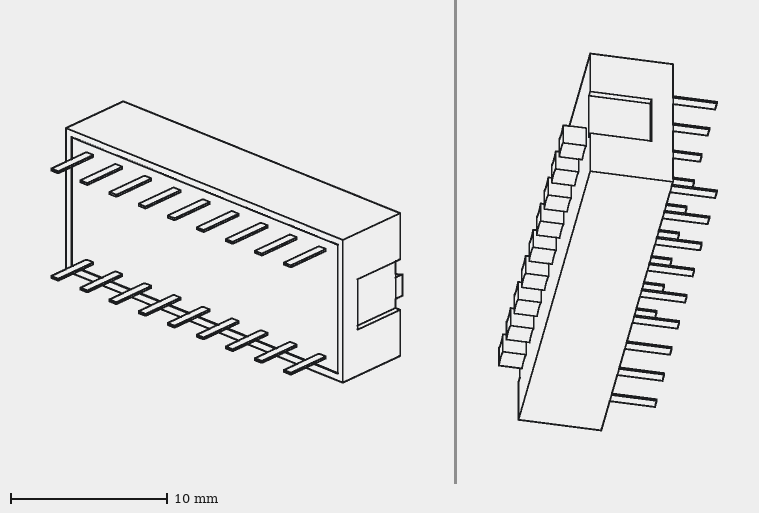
import cadquery as cq


body_length = 24.22
body_depth = 5.4
body_height = 10.15

base_length = 23.3
base_height = 9.15
base_recess = 0.1

end_recess_depth = 0.4
end_recess_length = 4.0
end_recess_height = 3.58

position_count = 9
pitch = 2.55
position_offset = 0.07

pin_length = 3.2
pin_width = 0.6
pin_thickness = 0.15
row_spacing = 7.63

actuator_length = 1.5
actuator_width = 1.35
actuator_height = 1.53
actuator_sag = 0.17
actuator_center_z = -0.95


def make_box(x_size, y_start, y_end, z_size, x=0.0, z=0.0):
    """Box centred on x and z, running from y_start to y_end."""
    center = (x, (y_start + y_end) / 2, z)
    return cq.Workplane("XY").box(x_size, y_end - y_start, z_size).translate(center)


def make_housing():
    housing = make_box(body_length, 0, body_depth, body_height)
    housing = housing.cut(make_box(base_length, 0, base_recess, base_height))
    for side in (-1, 1):
        recess_x = side * (body_length - end_recess_depth) / 2
        recess_start = body_depth - end_recess_length
        recess = make_box(end_recess_depth, recess_start, body_depth, end_recess_height, x=recess_x)
        housing = housing.cut(recess)
    return housing


def make_actuator(x):
    half_width = actuator_width / 2
    half_height = actuator_height / 2
    waist = half_height - actuator_sag
    return (
        cq.Workplane("XZ")
        .moveTo(-half_width, -half_height)
        .threePointArc((0, -waist), (half_width, -half_height))
        .lineTo(half_width, half_height)
        .threePointArc((0, waist), (-half_width, half_height))
        .close()
        .extrude(-actuator_length)
        .translate((x, body_depth, actuator_center_z))
    )


def make_pin(x, z):
    return make_box(pin_width, -pin_length, base_recess, pin_thickness, x=x, z=z)


result = make_housing()
for position in range(position_count):
    position_x = (position - (position_count - 1) / 2) * pitch + position_offset
    result = result.union(make_actuator(position_x))
    for row in (-1, 1):
        result = result.union(make_pin(position_x, row * row_spacing / 2))